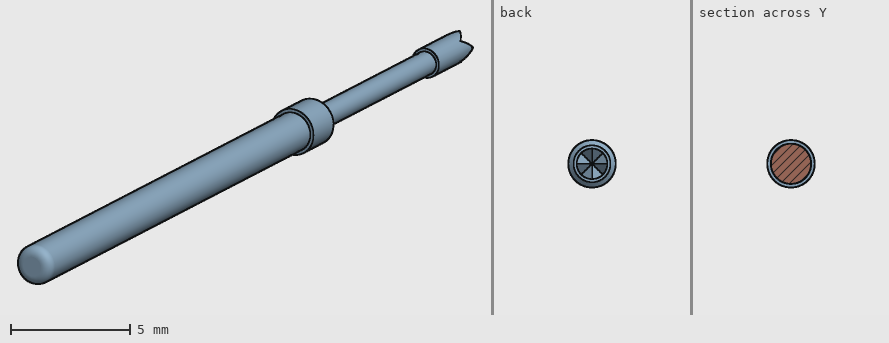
import cadquery as cq
import math

total_length = 37.8
barrel_diameter = 1.7
barrel_length = 23.02
barrel_end_round = 0.4
collar_diameter = 2.0
collar_length = 2.0
collar_chamfer = 0.23
plunger_diameter = 1.02
head_diameter = 1.3
head_length = 3.02
tooth_depth = 0.75

tail_y = -total_length / 2
tip_y = total_length / 2
collar_start_y = tail_y + barrel_length
collar_end_y = collar_start_y + collar_length
head_start_y = tip_y - head_length


def cylinder(diameter, start_y, end_y):
    """Solid cylinder on the Y axis between two positions."""
    base = cq.Workplane("XZ", origin=(0, start_y, 0))
    return base.circle(diameter / 2).extrude(start_y - end_y)


def tooth_groove(angle):
    """V groove across the tip, turned about Y; its rim meets the tooth tips."""
    half_width = head_diameter / 2 * math.sin(math.pi / 4)
    overshoot = 2.0
    half_opening = half_width * overshoot
    opening_y = tip_y + tooth_depth * (overshoot - 1)
    groove = (
        cq.Workplane("XY")
        .moveTo(0, tip_y - tooth_depth)
        .lineTo(half_opening, opening_y)
        .lineTo(-half_opening, opening_y)
        .close()
        .extrude(head_diameter, both=True)
    )
    return groove.rotate((0, 0, 0), (0, 1, 0), angle)


barrel = cylinder(barrel_diameter, tail_y, collar_start_y)
barrel = barrel.faces("<Y").edges().fillet(barrel_end_round)

collar = cylinder(collar_diameter, collar_start_y, collar_end_y)
collar = collar.faces(">Y").edges().chamfer(collar_chamfer)

plunger = cylinder(plunger_diameter, collar_end_y, head_start_y)
head = cylinder(head_diameter, head_start_y, tip_y)
for groove_angle in (45, -45):
    head = head.cut(tooth_groove(groove_angle))

result = barrel.union(collar).union(plunger).union(head)